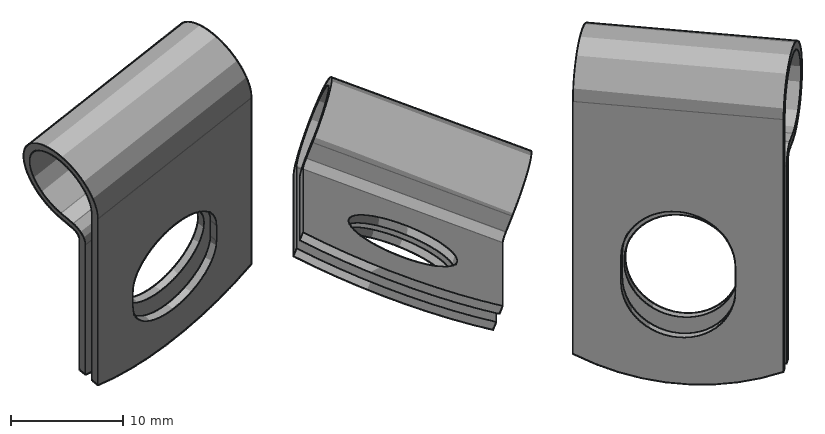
import cadquery as cq

height = 32.55
width = 19.05
loop_diameter = 9.55
bore_diameter = 7.95
bend_inner_radius = 0.8
hole_diameter = 10.35
hole_height = 11.1
slot_straight = 2.4
end_rise = 2.1

outer_radius = loop_diameter / 2
inner_radius = bore_diameter / 2
thickness = outer_radius - inner_radius
leg_gap = thickness
loop_z = height - outer_radius
bend_outer_radius = bend_inner_radius + thickness
short_leg_right = inner_radius - leg_gap
short_leg_left = short_leg_right - thickness
bend_x = short_leg_right - bend_outer_radius
bend_z = loop_z - inner_radius - bend_outer_radius
diagonal = 0.5 ** 0.5


def make_strip():
    """Constant-thickness strip: long leg, loop, bend and short leg."""
    profile = (
        cq.Workplane("XZ")
        .moveTo(outer_radius, 0)
        .lineTo(outer_radius, loop_z)
        .threePointArc(
            (-outer_radius * diagonal, loop_z + outer_radius * diagonal),
            (0, loop_z - outer_radius),
        )
        .lineTo(bend_x, loop_z - outer_radius)
        .threePointArc(
            (bend_x + bend_inner_radius * diagonal, bend_z + bend_inner_radius * diagonal),
            (short_leg_left, bend_z),
        )
        .lineTo(short_leg_left, 0)
        .lineTo(short_leg_right, 0)
        .lineTo(short_leg_right, bend_z)
        .threePointArc(
            (bend_x + bend_outer_radius * diagonal, bend_z + bend_outer_radius * diagonal),
            (bend_x, loop_z - inner_radius),
        )
        .lineTo(0, loop_z - inner_radius)
        .threePointArc(
            (-inner_radius * diagonal, loop_z + inner_radius * diagonal),
            (inner_radius, loop_z),
        )
        .lineTo(inner_radius, 0)
        .close()
    )
    return profile.extrude(width / 2, both=True)


def make_outline():
    """Side outline of the clip, with its arched lower end."""
    return (
        cq.Workplane("YZ")
        .moveTo(-width / 2, height)
        .lineTo(-width / 2, end_rise)
        .threePointArc((0, 0), (width / 2, end_rise))
        .lineTo(width / 2, height)
        .close()
        .extrude(loop_diameter, both=True)
    )


def make_hole():
    """Round screw hole through the short leg."""
    return (
        cq.Workplane("YZ")
        .center(0, hole_height)
        .circle(hole_diameter / 2)
        .extrude(short_leg_right)
    )


def make_slot():
    """Upright slot through the long leg, as wide as the round hole."""
    return (
        cq.Workplane("YZ")
        .workplane(offset=short_leg_right)
        .center(0, hole_height)
        .slot2D(hole_diameter + slot_straight, hole_diameter, 90)
        .extrude(outer_radius - short_leg_right)
    )


result = make_strip().intersect(make_outline()).cut(make_hole()).cut(make_slot())